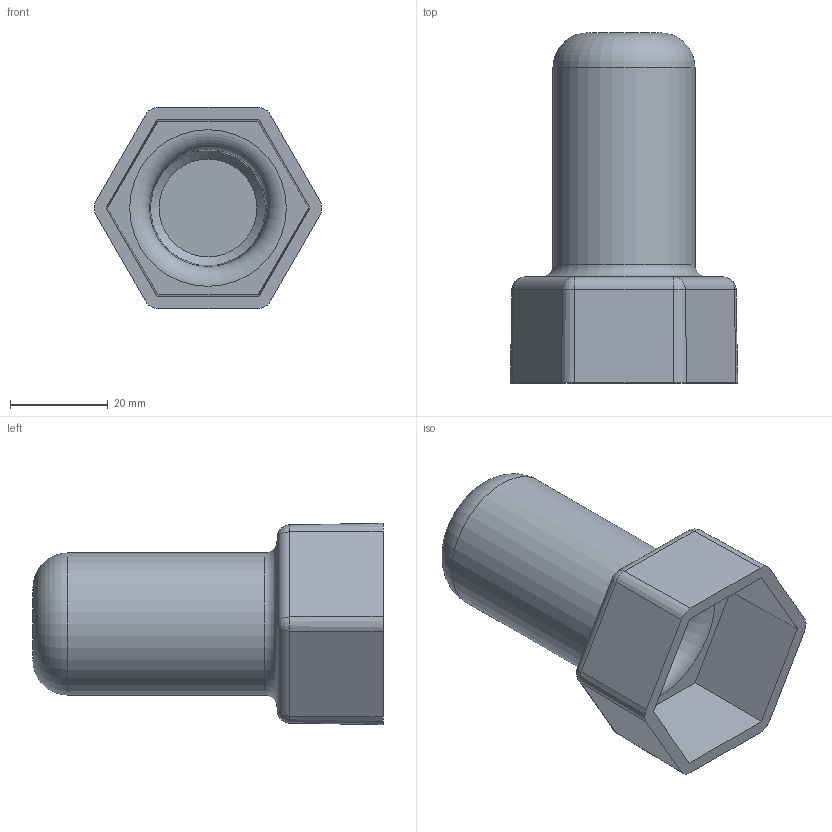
import cadquery as cq
import math

total_length = 71.5

skirt_flats = 41.15
skirt_corner_radius = 3.2
skirt_length = 21.65
skirt_edge_radius = 2.6
skirt_draft_angle = 1.0

sleeve_radius = 14.5
dome_radius = 7.0
neck_radius = 2.5

socket_flats = 36.0
socket_depth = 19.0
socket_draft_angle = 0.8

wall = 2.5
bore_radius = sleeve_radius - wall
bore_mouth_radius = 4.0
bore_draft = 0.2
bore_end_radius = 10.0
bore_end_y = total_length - wall


def open_end():
    """Work plane at the open end whose normal points along +Y."""
    return cq.Workplane("XZ").transformed(rotate=(180, 0, 0))


def hexagon_prism(flats, corner_radius, length, taper):
    """Drafted hexagonal prism along +Y with two corners on the X axis."""
    across_corners = flats / math.cos(math.pi / 6)
    outline = cq.Sketch().regularPolygon(across_corners / 2, 6, angle=30)
    if corner_radius:
        outline = outline.vertices().fillet(corner_radius)
    return open_end().placeSketch(outline).extrude(length, taper=taper)


def outer_form():
    """Hexagonal skirt and domed sleeve, blended at the neck."""
    skirt = hexagon_prism(skirt_flats, skirt_corner_radius, skirt_length, skirt_draft_angle)
    skirt = skirt.faces(">Y").edges().fillet(skirt_edge_radius)
    sleeve = (
        cq.Workplane("XY")
        .moveTo(0, skirt_length - wall)
        .lineTo(sleeve_radius + neck_radius, skirt_length - wall)
        .lineTo(sleeve_radius + neck_radius, skirt_length)
        .radiusArc((sleeve_radius, skirt_length + neck_radius), neck_radius)
        .lineTo(sleeve_radius, total_length - dome_radius)
        .radiusArc((sleeve_radius - dome_radius, total_length), -dome_radius)
        .lineTo(0, total_length)
        .close()
        .revolve(360, (0, 0, 0), (0, 1, 0))
    )
    return skirt.union(sleeve)


def bore():
    """Blind bore, slightly drafted, with a rounded mouth and a 45 degree chamfered end."""
    narrow_radius = bore_radius - bore_draft
    end_chamfer = narrow_radius - bore_end_radius
    return (
        cq.Workplane("XY")
        .moveTo(0, socket_depth)
        .lineTo(bore_radius + bore_mouth_radius, socket_depth)
        .radiusArc((bore_radius, socket_depth + bore_mouth_radius), bore_mouth_radius)
        .lineTo(narrow_radius, bore_end_y - end_chamfer)
        .lineTo(bore_end_radius, bore_end_y)
        .lineTo(0, bore_end_y)
        .close()
        .revolve(360, (0, 0, 0), (0, 1, 0))
    )


socket = hexagon_prism(socket_flats, 0, socket_depth, socket_draft_angle)
cap = outer_form().cut(socket).cut(bore())

result = cq.Compound.makeCompound([cap.val()])